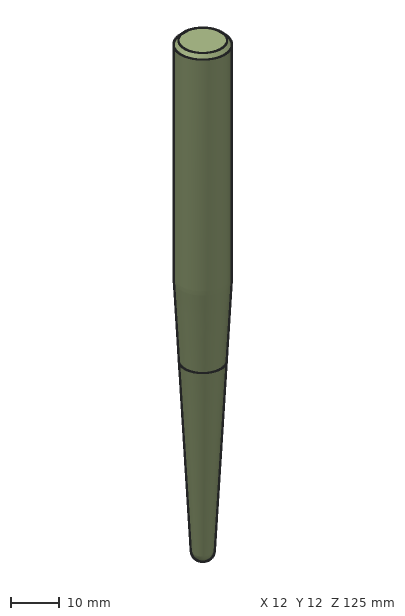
import cadquery as cq
import math

total_length = 125.0
shank_radius = 6.0
top_chamfer = 1.0

ball_radius = 2.5
taper_start_height = 67.8
blend_radius = 20.0
joint_height = 48.0

rise = taper_start_height - ball_radius
half_angle = math.atan2(shank_radius, rise) - math.asin(ball_radius / math.hypot(rise, shank_radius))


def taper_radius(height):
    """Radius of the cone at a given height."""
    return shank_radius - (taper_start_height - height) * math.tan(half_angle)


def make_cutter():
    """Tapered lower body with a ball nose tangent to the cone."""
    ball_top_radius = ball_radius * math.cos(half_angle)
    ball_top_height = ball_radius * (1 - math.sin(half_angle))
    arc_middle_angle = (math.pi / 2 + half_angle) / 2
    arc_middle = (
        ball_radius * math.sin(arc_middle_angle),
        ball_radius * (1 - math.cos(arc_middle_angle)),
    )
    return (
        cq.Workplane("XZ")
        .moveTo(0, 0)
        .threePointArc(arc_middle, (ball_top_radius, ball_top_height))
        .lineTo(taper_radius(joint_height), joint_height)
        .lineTo(0, joint_height)
        .close()
        .revolve(360, (0, 0, 0), (0, 1, 0))
    )


def make_shank():
    """Cylindrical upper body, chamfered on top, blending into the cone at the bottom."""
    tangent_length = blend_radius * math.tan(half_angle / 2)
    blend_top_height = taper_start_height + tangent_length
    blend_bottom_height = taper_start_height - tangent_length * math.cos(half_angle)
    blend_middle = (
        shank_radius - blend_radius * (1 - math.cos(half_angle / 2)),
        blend_top_height - blend_radius * math.sin(half_angle / 2),
    )
    return (
        cq.Workplane("XZ")
        .moveTo(0, joint_height)
        .lineTo(taper_radius(joint_height), joint_height)
        .lineTo(taper_radius(blend_bottom_height), blend_bottom_height)
        .threePointArc(blend_middle, (shank_radius, blend_top_height))
        .lineTo(shank_radius, total_length - top_chamfer)
        .lineTo(shank_radius - top_chamfer, total_length)
        .lineTo(0, total_length)
        .close()
        .revolve(360, (0, 0, 0), (0, 1, 0))
    )


cutter = make_cutter()
shank = make_shank()
result = cq.Compound.makeCompound([shank.val(), cutter.val()])